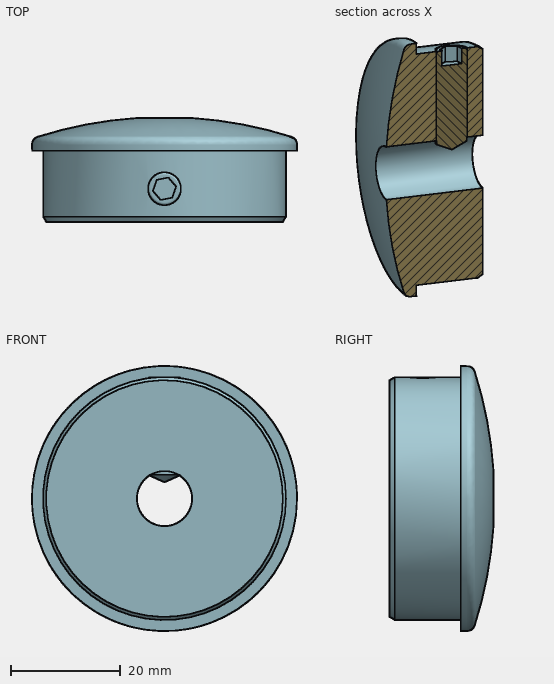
import cadquery as cq
import math

flange_radius = 24.15
body_radius = 22.1
bore_diameter = 10.0
bore_radius = bore_diameter / 2
body_length = 13.0
total_length = 19.0
dome_edge_length = 15.2
rim_fillet = 1.5
chamfer_length = 1.0
chamfer_angle = 30.0
front_y = -total_length / 2

screw_radius = 3.0
screw_offset = 6.1
screw_top = body_radius
screw_tip = 2.95
point_height = 1.35
screw_fillet = 0.5
socket_corner_diameter = 4.3
socket_depth = 2.9
socket_turn = 11.0
screw_y = front_y + screw_offset


def dome_y(radius, sphere_radius, sphere_center):
    """Y position of the spherical dome at a distance from the cap axis."""
    return sphere_center + math.sqrt(sphere_radius**2 - radius**2)


def make_cap():
    """Flanged, domed cap with a through bore and a radial screw hole."""
    flange_y = front_y + body_length
    dome_edge_y = front_y + dome_edge_length
    dome_rim_y = front_y + total_length
    sphere_center = (
        (flange_radius**2 + dome_edge_y**2 - bore_radius**2 - dome_rim_y**2)
        / (2 * (dome_edge_y - dome_rim_y))
    )
    sphere_radius = math.hypot(flange_radius, dome_edge_y - sphere_center)
    middle_radius = (flange_radius + bore_radius) / 2
    middle_y = dome_y(middle_radius, sphere_radius, sphere_center)
    chamfer_width = chamfer_length * math.tan(math.radians(chamfer_angle))

    cap = (
        cq.Workplane("XY")
        .moveTo(bore_radius, front_y)
        .lineTo(body_radius - chamfer_width, front_y)
        .lineTo(body_radius, front_y + chamfer_length)
        .lineTo(body_radius, flange_y)
        .lineTo(flange_radius, flange_y)
        .lineTo(flange_radius, dome_edge_y)
        .threePointArc((middle_radius, middle_y), (bore_radius, dome_rim_y))
        .close()
        .revolve(360, (0, 0, 0), (0, 1, 0))
    )
    margin = 0.05
    reach = flange_radius + margin
    dome_edges = cq.selectors.BoxSelector(
        (-reach, dome_edge_y - margin, -reach),
        (reach, dome_edge_y + margin, reach),
        boundingbox=True,
    )
    cap = cap.edges(dome_edges).fillet(rim_fillet)

    screw_hole = (
        cq.Workplane("XY").center(0, screw_y).circle(screw_radius).extrude(flange_radius)
    )
    return cap.cut(screw_hole).solids()


def make_set_screw():
    """Cone-point set screw with a rounded top edge and a hexagon socket."""
    screw = (
        cq.Workplane("XZ", origin=(0, screw_y, 0))
        .moveTo(0, screw_tip)
        .lineTo(screw_radius, screw_tip + point_height)
        .lineTo(screw_radius, screw_top)
        .lineTo(0, screw_top)
        .close()
        .revolve(360, (0, 0, 0), (0, 1, 0))
        .faces(">Z")
        .edges()
        .fillet(screw_fillet)
    )
    socket = (
        cq.Workplane("XY")
        .polygon(6, socket_corner_diameter)
        .extrude(socket_depth)
        .rotate((0, 0, 0), (0, 0, 1), socket_turn)
        .translate((0, screw_y, screw_top - socket_depth))
    )
    return screw.cut(socket).solids()


cap = make_cap()
set_screw = make_set_screw()
result = cq.Compound.makeCompound([cap.val(), set_screw.val()])